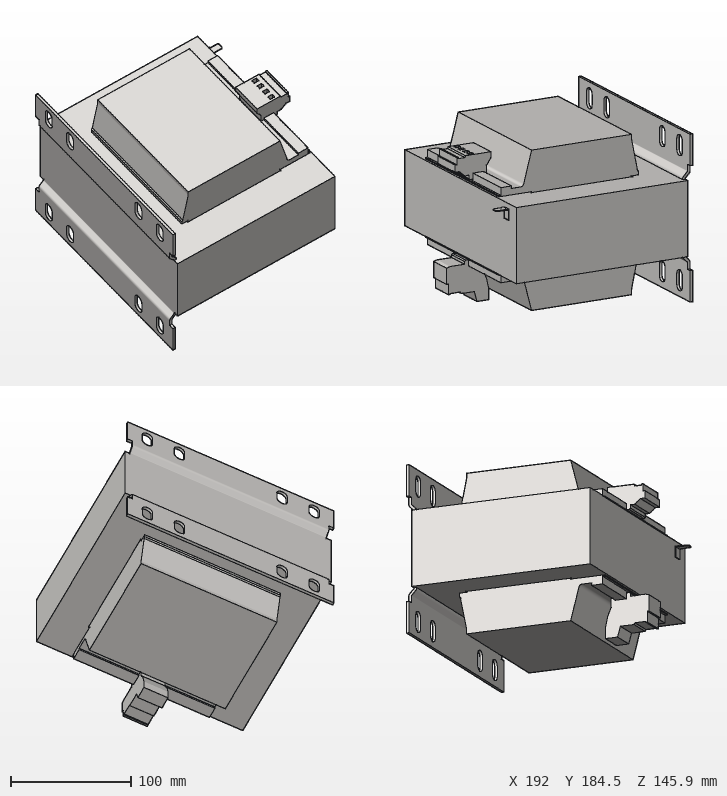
import cadquery as cq
import math


core_width = 192.0
core_half_height = 33.0
core_front = 7.25
leg_width = core_width / 6
yoke_joint = core_front + 4 * leg_width
core_rear = yoke_joint + leg_width
window_front = core_front + leg_width
window_half_width = core_width / 2 - leg_width

coil_half_width = 63.2
coil_half_height = 69.5
coil_front = 40.0
coil_rear = 134.7
coil_shoulder = 65.5
bobbin_underside = core_half_height + 0.5
bobbin_front = 33.4
bobbin_foot = 36.6
slope_end_y = 34.4
slope_end_z = 37.9
rail_floor = 39.1
rail_top = 41.2
rail_front = 153.7
rail_rear = 163.8
lip_top = 34.5
lip_rear = 165.8
coil_root = 142.8
coil_root_radius = 3.0
edge_search = 1.0

plate_thickness = 2.5
flange_half_height = 72.7
web_front = core_front - plate_thickness
neck_width = 182.8
neck_end = 45.5
bend_start = 39.8
bend_outer_radius = 3.4
bend_inner_radius = bend_outer_radius - plate_thickness
bend_angle = 45.0
bend_setback = (bend_outer_radius + bend_inner_radius) * math.tan(math.radians(bend_angle / 2))
bend_drop = web_front / math.tan(math.radians(bend_angle))
web_bend_start = bend_start - bend_drop - bend_setback
slot_angle = 90.0
slot_width = 9.5
slot_length = 18.0
slot_height = 58.5
slot_positions = (-77.6, -47.75, 47.75, 77.6)

block_right = 15.0
upper_block_width = 30.0
lower_block_width = 22.5
hook_z = 35.8
hook_front = 166.4
hook_rear = 167.5
hook_chamfer_z = 36.8
block_throat = 146.7
terminal_rear = 184.5
lower_block_bottom = -73.25
upper_block_top = 57.25
upper_block_front = 150.8
upper_block_bottom = 39.8
upper_block_rear = 180.5
upper_step_y = 171.3
upper_nose_bottom = 44.1
upper_ledge_y = 178.9
upper_ledge_z = 50.5
upper_rib_front = 177.3
upper_rib_top = 56.6
upper_recess_z = 55.7
lower_block_front = 149.9
lower_block_top = -39.2
lower_foot_front = 144.6
lower_step_z = -64.2
lower_recess_z = -62.8
lower_ledge_y = 182.8
lower_ledge_z = -54.2
lower_rib_bottom = -63.5
upper_slope_top = 51.9
upper_slope_bottom = 46.2
upper_nose_y = 176.6
upper_top_rear = 170.8
lower_slope_top = -46.8
lower_slope_bottom = -54.4
lower_knee_y = 145.3
lower_knee_z = -60.8
lower_foot_top = -64.0
lower_foot_rear = 155.7
lower_step_front = 158.3
lower_step_rear = 170.7
lower_recess_front = 171.5
lower_recess_rear = 180.9
lower_rib_front = 181.3
lower_chamfer_z = -40.2
lower_chamfer_y = 181.4
pocket_width = 3.4
pocket_length = 4.6
pocket_depth = 5.0
pocket_y = 164.2
pocket_positions = (-11.1, -3.8, 3.8, 11.1)

tab_x = -79.8
tab_thickness = 0.8
tab_height = 28.0
tab_foot_bottom = 18.8
tab_base_width = 7.8
tab_base_rear = 170.4
tab_blade_width = 6.3
tab_rear = 179.0
tab_chamfer = 1.0


def box(x_range, y_range, z_range):
    """Axis-aligned box given by its limits."""
    size = [high - low for low, high in (x_range, y_range, z_range)]
    corner = (x_range[0], y_range[0], z_range[0])
    return cq.Workplane("XY").box(*size, centered=False).translate(corner)


def extrude_along_x(outline, x_start, width):
    """Extrude a closed outline drawn in the YZ plane."""
    return outline.extrude(width).translate((x_start, 0, 0))


def polygon(points):
    return cq.Workplane("YZ").polyline(points).close()


def with_mirror(shape):
    """The shape joined with its copy below the mid plane."""
    return shape.union(shape.mirror("XY"))


def make_core():
    """E-I core block with the clearance gaps beside the coil."""
    half_width = core_width / 2
    core = box(
        (-half_width, half_width),
        (core_front, core_rear),
        (-core_half_height, core_half_height),
    )
    for low, high in (
        (-window_half_width, -coil_half_width),
        (coil_half_width, window_half_width),
    ):
        gap = box((low, high), (window_front, yoke_joint), (-core_half_height, core_half_height))
        core = core.cut(gap)
    return core


def make_coil():
    """Coil through the core, with bobbin flange and terminal rail above and below."""
    outline = polygon(
        [
            (coil_front, 0),
            (coil_front, bobbin_underside),
            (bobbin_front, bobbin_underside),
            (bobbin_front, bobbin_foot),
            (slope_end_y, slope_end_z),
            (coil_front, coil_shoulder),
            (coil_front, coil_half_height),
            (coil_rear, coil_half_height),
            (coil_root, rail_floor),
            (rail_front, rail_floor),
            (rail_front, rail_top),
            (rail_rear, rail_top),
            (rail_rear, lip_top),
            (lip_rear, lip_top),
            (lip_rear, bobbin_underside),
            (coil_rear, bobbin_underside),
            (coil_rear, 0),
        ]
    )
    half = extrude_along_x(outline, -coil_half_width, 2 * coil_half_width)
    root = cq.selectors.BoxSelector(
        (-coil_half_width, coil_root - edge_search, rail_floor - edge_search),
        (coil_half_width, coil_root + edge_search, rail_floor + edge_search),
    )
    half = half.edges(root).fillet(coil_root_radius)
    return with_mirror(half)


def make_foot_plate():
    """Plate on the core front with two stepped, slotted mounting flanges."""
    half_width = core_width / 2
    web = box(
        (-half_width, half_width),
        (web_front, core_front),
        (-core_half_height, core_half_height),
    )
    flange = box(
        (-half_width, half_width),
        (0, plate_thickness),
        (neck_end, flange_half_height),
    )

    half_bend = math.radians(bend_angle / 2)
    bend = math.radians(bend_angle)

    def flange_bend(radius, angle):
        return (
            bend_outer_radius - radius * math.cos(angle),
            bend_start - radius * math.sin(angle),
        )

    def web_bend(radius, angle):
        y, z = flange_bend(radius, angle)
        return (core_front - y, bend_start + web_bend_start - z)

    outline = (
        cq.Workplane("YZ")
        .moveTo(0, neck_end)
        .lineTo(0, bend_start)
        .threePointArc(flange_bend(bend_outer_radius, half_bend), flange_bend(bend_outer_radius, bend))
        .lineTo(*web_bend(bend_inner_radius, bend))
        .threePointArc(web_bend(bend_inner_radius, half_bend), (web_front, web_bend_start))
        .lineTo(web_front, 0)
        .lineTo(core_front, 0)
        .lineTo(core_front, web_bend_start)
        .threePointArc(web_bend(bend_outer_radius, half_bend), web_bend(bend_outer_radius, bend))
        .lineTo(*flange_bend(bend_inner_radius, bend))
        .threePointArc(flange_bend(bend_inner_radius, half_bend), (plate_thickness, bend_start))
        .lineTo(plate_thickness, neck_end)
        .close()
    )
    neck = extrude_along_x(outline, -neck_width / 2, neck_width)

    slots = (
        cq.Workplane("XZ")
        .pushPoints([(x, slot_height) for x in slot_positions])
        .slot2D(slot_length, slot_width, slot_angle)
        .extrude(-plate_thickness)
    )
    return web.union(with_mirror(flange.union(neck).cut(slots)))


def make_upper_block():
    """Double terminal block hooked onto the upper rail."""
    outline = polygon(
        [
            (block_throat, upper_block_top),
            (block_throat, upper_slope_top),
            (upper_block_front, upper_slope_bottom),
            (upper_block_front, rail_floor),
            (rail_rear, rail_floor),
            (rail_rear, hook_z),
            (hook_front, hook_z),
            (hook_rear, hook_chamfer_z),
            (hook_rear, upper_block_bottom),
            (upper_step_y, upper_block_bottom),
            (upper_nose_y, upper_nose_bottom),
            (upper_block_rear, upper_nose_bottom),
            (upper_block_rear, upper_ledge_z),
            (upper_ledge_y, upper_ledge_z),
            (upper_ledge_y, upper_rib_top),
            (upper_rib_front, upper_rib_top),
            (upper_rib_front, upper_recess_z),
            (upper_step_y, upper_recess_z),
            (upper_top_rear, upper_block_top),
        ]
    )
    block = extrude_along_x(outline, block_right - upper_block_width, upper_block_width)
    pockets = (
        cq.Workplane("XY", origin=(0, 0, upper_block_top))
        .pushPoints([(x, pocket_y) for x in pocket_positions])
        .rect(pocket_width, pocket_length)
        .extrude(-pocket_depth)
    )
    return block.cut(pockets)


def make_lower_block():
    """Larger terminal block hooked onto the lower rail."""
    outline = polygon(
        [
            (lower_block_front, -rail_floor),
            (lower_block_front, lower_slope_top),
            (block_throat, lower_slope_bottom),
            (lower_knee_y, lower_knee_z),
            (lower_foot_front, lower_foot_top),
            (lower_foot_front, lower_block_bottom),
            (lower_foot_rear, lower_block_bottom),
            (lower_step_front, lower_step_z),
            (lower_step_rear, lower_step_z),
            (lower_recess_front, lower_recess_z),
            (lower_recess_rear, lower_recess_z),
            (lower_rib_front, lower_rib_bottom),
            (lower_ledge_y, lower_rib_bottom),
            (lower_ledge_y, lower_ledge_z),
            (terminal_rear, lower_ledge_z),
            (terminal_rear, lower_chamfer_z),
            (lower_chamfer_y, lower_block_top),
            (hook_rear, lower_block_top),
            (hook_rear, -hook_chamfer_z),
            (hook_front, -hook_z),
            (rail_rear, -hook_z),
            (rail_rear, -rail_floor),
        ]
    )
    return extrude_along_x(outline, block_right - lower_block_width, lower_block_width)


def make_earth_tab():
    """L-shaped blade terminal on the rear of the core."""
    z_range = (tab_height - tab_thickness / 2, tab_height + tab_thickness / 2)
    base_x = (tab_x - tab_base_width / 2, tab_x + tab_base_width / 2)
    blade_x = (tab_x - tab_blade_width / 2, tab_x + tab_blade_width / 2)
    foot = box(base_x, (core_rear, core_rear + tab_thickness), (tab_foot_bottom, z_range[1]))
    base = box(base_x, (core_rear, tab_base_rear), z_range)
    blade = box(blade_x, (core_rear, tab_rear), z_range)
    blade = blade.faces(">Y").edges("|Z").chamfer(tab_chamfer)
    return foot.union(base).union(blade)


result = (
    make_core()
    .union(make_coil())
    .union(make_foot_plate())
    .union(make_upper_block())
    .union(make_lower_block())
    .union(make_earth_tab())
)